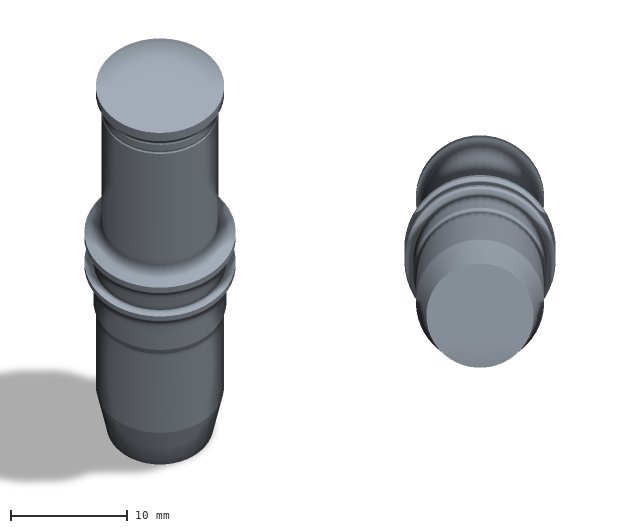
import cadquery as cq
import math

tip_radius = 4.6
body_radius = 11.0 / 2
collar_radius = 11.45 / 2
flange_radius = 13.0 / 2
shaft_radius = 10.0 / 2
groove_radius = 9.8 / 2
head_radius = body_radius

total_height = 43.0
tip_height = 5.0
collar_bottom = 15.0
collar_taper_height = 0.75
ring_bottom = 20.05
ring_top = 20.8
ring_edge_radius = 0.25
flange_bottom = 23.0
flange_rim_bottom = 23.8
flange_rim_top = 24.45
head_thickness = 1.05

ring_edge_inset = ring_edge_radius * (1 - math.sin(math.pi / 4))
ring_edge_mid = (flange_radius - ring_edge_inset, ring_bottom + ring_edge_inset)

flange_slope = math.radians(22)
blend_radius = 1.0
blend_outer_radius = shaft_radius + blend_radius * (1 - math.sin(flange_slope))
blend_bottom = flange_rim_top + (flange_radius - blend_outer_radius) * math.tan(flange_slope)
blend_top = blend_bottom + blend_radius * math.cos(flange_slope)
blend_mid_angle = (math.pi / 2 - flange_slope) / 2
blend_mid = (
    shaft_radius + blend_radius * (1 - math.cos(blend_mid_angle)),
    blend_top - blend_radius * math.sin(blend_mid_angle),
)

head_bottom = total_height - head_thickness
head_fillet = head_radius - shaft_radius
head_fillet_bottom = head_bottom - head_fillet
head_fillet_mid = (
    head_radius - head_fillet * math.sin(math.pi / 4),
    head_fillet_bottom + head_fillet * math.sin(math.pi / 4),
)

groove_width = 0.4
groove_centers = [40.0, 41.15]


def make_body():
    """Revolve the outline of the plug around Z."""
    outline = (
        cq.Workplane("XZ")
        .moveTo(0, 0)
        .lineTo(tip_radius, 0)
        .lineTo(body_radius, tip_height)
        .lineTo(body_radius, collar_bottom)
        .lineTo(collar_radius, collar_bottom + collar_taper_height)
        .lineTo(collar_radius, ring_bottom)
        .lineTo(flange_radius - ring_edge_radius, ring_bottom)
        .threePointArc(ring_edge_mid, (flange_radius, ring_bottom + ring_edge_radius))
        .lineTo(flange_radius, ring_top)
        .lineTo(collar_radius, ring_top)
        .lineTo(collar_radius, flange_bottom)
        .lineTo(flange_radius, flange_rim_bottom)
        .lineTo(flange_radius, flange_rim_top)
        .lineTo(blend_outer_radius, blend_bottom)
        .threePointArc(blend_mid, (shaft_radius, blend_top))
        .lineTo(shaft_radius, head_fillet_bottom)
        .threePointArc(head_fillet_mid, (head_radius, head_bottom))
        .lineTo(head_radius, total_height)
        .lineTo(0, total_height)
        .close()
    )
    return outline.revolve(360, (0, 0, 0), (0, 1, 0))


def make_groove(center):
    """Ring of material to remove for one groove."""
    depth = shaft_radius - groove_radius
    bottom = center - groove_width / 2
    top = center + groove_width / 2
    section = [
        (shaft_radius, bottom),
        (groove_radius, bottom + depth),
        (groove_radius, top - depth),
        (shaft_radius, top),
    ]
    return cq.Workplane("XZ").polyline(section).close().revolve(360, (0, 0, 0), (0, 1, 0))


result = make_body()
for groove_center in groove_centers:
    result = result.cut(make_groove(groove_center))